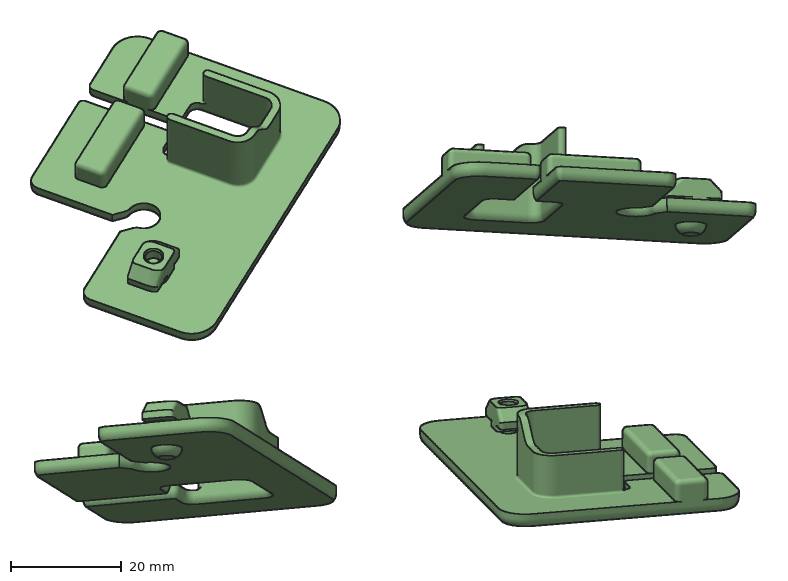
import cadquery as cq
import math

plate_length = 45.0
plate_width = 61.0
plate_thickness = 2.5
inner_corner = 20.0
outer_radius = 5.0
inner_radius = 2.0
bevel_radius = 2.0
bevel_angle = 45.0

window_left = 18.55
window_length = 16.5
window_width = 13.8
window_radius = 1.5
window_right = window_left + window_length
slit_center_y = 44.05
slit_width = 3.0
slit_corner_radius = 1.0

notch_center = 22.25
notch_radius = 3.0
channel_width = 4.2
notch_blend = 2.0

wall_thickness = 1.5
wall_left = 20.3
wall_inner_radius = 2.0
wall_height = 12.0
wall_step = 4.0
wall_foot_radius = 0.5
slope_center_y = 42.3
slope_blend = 3.0

rail_center_x = 10.0
rail_width = 6.2
rail_height = 4.0
rail_rounding = 1.0
south_rail_end = 25.0

screw_x = 30.0
screw_y = 10.0
shank_diameter = 3.0
shank_length = 6.0
shank_chamfer = 0.25
head_diameter = 5.7
head_height = 1.7
head_flat_diameter = 3.05
head_bulge = 0.3

nut_width = 6.0
nut_length = 10.4
nut_gap = 1.0
nut_boss_height = 1.05
nut_side_height = 1.35
nut_slope = 2.15
nut_mouth_diameter = 3.6
nut_corner_radius = 0.7
nut_boss_large_radius = 2.5
nut_cone_offset = 1.1
nut_cone_radius = 4.5


def box(x0, x1, y0, y1, z0, z1):
    """Box between two opposite corners."""
    return cq.Workplane("XY").box(x1 - x0, y1 - y0, z1 - z0, centered=False).translate((x0, y0, z0))


def round_upright_edges(body, points, radius):
    """Round the vertical edges nearest to the given points."""
    for point in points:
        body = body.edges(cq.NearestToPointSelector(point)).fillet(radius)
    return body


def make_slab():
    """L-shaped slab with rounded outer corners."""
    z = plate_thickness / 2
    outline = [
        (inner_corner, 0),
        (plate_length, 0),
        (plate_length, plate_width),
        (0, plate_width),
        (0, inner_corner),
        (inner_corner, inner_corner),
    ]
    slab = cq.Workplane("XY").polyline(outline).close().extrude(plate_thickness)
    large = [(plate_length, 0, z), (plate_length, plate_width, z), (0, plate_width, z)]
    small = [(inner_corner, 0, z), (0, inner_corner, z)]
    slab = round_upright_edges(slab, large, outer_radius)
    return round_upright_edges(slab, small, inner_radius)


def make_wall():
    """U-shaped wall with round ends; the foot fillet stays only beside the window, not over it."""
    half = window_width / 2
    outer_half = half + wall_thickness
    x_end = wall_left + wall_thickness / 2
    x_back = window_right + wall_thickness
    outer = box(0, x_back, slit_center_y - outer_half, slit_center_y + outer_half, 0, plate_thickness + wall_height)
    inner = box(-x_back, window_right, slit_center_y - half, slit_center_y + half, 0, plate_thickness + wall_height)
    outer = outer.edges("|Z and >X").fillet(wall_inner_radius + wall_thickness)
    inner = inner.edges("|Z and >X").fillet(wall_inner_radius)
    beyond_ends = box(0, x_end, 0, plate_width, 0, plate_thickness + wall_height)
    wall = outer.cut(inner).cut(beyond_ends)
    for side in (-1, 1):
        y = slit_center_y + side * (half + wall_thickness / 2)
        end = cq.Workplane("XY").center(x_end, y).circle(wall_thickness / 2).extrude(plate_thickness + wall_height)
        wall = wall.union(end)
    reach = outer_half + wall_thickness
    foot = cq.selectors.BoxSelector(
        (wall_left - wall_thickness, slit_center_y - reach, plate_thickness - wall_foot_radius),
        (window_right + 2 * wall_thickness, slit_center_y + reach, plate_thickness + wall_foot_radius),
    )
    pad = box(0, plate_length, 0, plate_width, 0, plate_thickness)
    wall = pad.union(wall).edges(foot).fillet(wall_foot_radius)
    return wall.cut(make_window()).cut(pad).cut(wall_slope_cutter())


def wall_slope_cutter():
    """Region above the low north part of the wall and its rounded 45 degree ramp."""
    top = plate_thickness + wall_height
    low = top - wall_step
    ramp = wall_step / 2
    outline = [
        (0, top + wall_step),
        (0, top),
        (slope_center_y - ramp, top),
        (slope_center_y + ramp, low),
        (plate_width, low),
        (plate_width, top + wall_step),
    ]
    cutter = cq.Workplane("YZ").polyline(outline).close().extrude(plate_length)
    for y, z in outline[2:4]:
        cutter = cutter.edges(cq.NearestToPointSelector((plate_length / 2, y, z))).fillet(slope_blend)
    return cutter


def make_window():
    """Window cutter that also clears the wall foot above the plate."""
    half = window_width / 2
    height = plate_thickness + wall_thickness
    window = box(window_left, window_right, slit_center_y - half, slit_center_y + half, 0, height)
    window = window.edges("|Z and <X").fillet(window_radius)
    return window.edges("|Z and >X").fillet(wall_inner_radius)


def cut_window(body):
    """Cut the window and the slit, and round the four slit corners."""
    slit_half = slit_width / 2
    slit_end = window_left + window_radius
    slit = box(0, slit_end, slit_center_y - slit_half, slit_center_y + slit_half, 0, plate_thickness)
    body = body.cut(make_window()).cut(slit)
    mouths = [
        (x, slit_center_y + side * slit_half, plate_thickness / 2)
        for x in (0, window_left)
        for side in (-1, 1)
    ]
    return round_upright_edges(body, mouths, slit_corner_radius)


def cut_notch(body):
    """Cut the round notch and its channel, and blend the two cusps between them."""
    circle = cq.Workplane("XY").center(notch_center, notch_center).circle(notch_radius).extrude(plate_thickness)
    reach = 2 * notch_radius + inner_radius
    half = channel_width / 2
    channel = box(-reach, 0, -half, half, 0, plate_thickness)
    channel = channel.rotate((0, 0, 0), (0, 0, 1), 45).translate((notch_center, notch_center, 0))
    body = body.cut(circle).cut(channel)
    back = math.sqrt(notch_radius**2 - half**2)
    near = notch_center - (back + half) / math.sqrt(2)
    far = notch_center - (back - half) / math.sqrt(2)
    z = plate_thickness / 2
    return round_upright_edges(body, [(near, far, z), (far, near, z)], notch_blend)


def bevel_underside(body):
    """Trim the lower rim to an arc that starts upright and meets the underside at the bevel angle."""
    angle = math.radians(bevel_angle)
    inset = bevel_radius * (1 - math.cos(angle))
    height = bevel_radius * math.sin(angle)
    mid_inset = bevel_radius * (1 - math.cos(angle / 2))
    mid_height = height - bevel_radius * math.sin(angle / 2)
    path = cq.Workplane(body.faces("<Z").val().outerWire())
    x = plate_length
    y = plate_width / 2
    cutter = (
        cq.Workplane("XZ", origin=(0, y, 0))
        .moveTo(x, height)
        .threePointArc((x - mid_inset, mid_height), (x - inset, 0))
        .lineTo(x, 0)
        .close()
        .sweep(path, transition="right")
    )
    return body.cut(cutter)


def make_rail(y0, y1):
    """Rail with rounded corners and top edges."""
    x0 = rail_center_x - rail_width / 2
    rail = box(x0, x0 + rail_width, y0, y1, plate_thickness, plate_thickness + rail_height)
    return rail.edges("|Z or >Z").fillet(rail_rounding)


def make_plate():
    """Plate with its openings, screw hole, rails and wall."""
    body = bevel_underside(cut_notch(cut_window(make_slab())))
    hole = cq.Workplane("XY").center(screw_x, screw_y).circle(shank_diameter / 2).extrude(plate_thickness)
    slit_half = slit_width / 2
    return (
        body.cut(hole)
        .union(make_rail(slit_center_y + slit_half, plate_width))
        .union(make_rail(south_rail_end, slit_center_y - slit_half))
        .union(make_wall(), clean=False)
    )


def make_screw():
    """Button-head screw with its head below the plate."""
    r = shank_diameter / 2
    flat = head_flat_diameter / 2
    rim = head_diameter / 2
    bulge = head_bulge * math.sqrt(0.5)
    mid = ((flat + rim) / 2 + bulge, -head_height / 2 - bulge)
    return (
        cq.Workplane("XZ")
        .moveTo(0, -head_height)
        .lineTo(flat, -head_height)
        .threePointArc(mid, (rim, 0))
        .lineTo(r, 0)
        .lineTo(r, shank_length - shank_chamfer)
        .lineTo(r - shank_chamfer, shank_length)
        .lineTo(0, shank_length)
        .close()
        .revolve(360, (0, 0, 0), (0, 1, 0))
        .translate((screw_x, screw_y, 0))
    )


def make_nut():
    """Hammer nut, centred on the screw axis with its base at zero height until placed."""
    half_w = nut_width / 2
    half_l = nut_length / 2
    side_top = nut_boss_height + nut_side_height
    side_middle = nut_boss_height + nut_side_height / 2
    slope_middle = side_top + nut_slope / 2
    top = side_top + nut_slope
    profile = [
        (-half_l, nut_boss_height),
        (half_l, nut_boss_height),
        (half_l, side_top),
        (half_l - nut_slope, top),
        (nut_slope - half_l, top),
        (-half_l, side_top),
    ]
    nut = cq.Workplane("YZ").polyline(profile).close().extrude(half_w, both=True)

    for side in (-1, 1):
        upright = cq.NearestToPointSelector((side * half_w, side * half_l, side_middle))
        ramp = cq.NearestToPointSelector((side * half_w, side * (half_l - nut_slope / 2), slope_middle))
        nut = nut.edges(upright + ramp).fillet(nut_corner_radius)

    cone_profile = [
        (0, nut_boss_height),
        (nut_cone_radius, nut_boss_height),
        (nut_cone_radius, side_top),
        (nut_cone_radius - nut_slope, top),
        (0, top),
    ]
    cone = cq.Workplane("XZ").polyline(cone_profile).close().revolve(360, (0, 0, 0), (0, 1, 0))
    cone = cone.translate((-nut_cone_offset, half_l - nut_cone_radius, 0))
    corner = box(-nut_width, -nut_cone_offset, half_l - nut_cone_radius, nut_length, nut_boss_height, top)
    corner_cutter = corner.cut(cone)
    for turn in (0, 180):
        nut = nut.cut(corner_cutter.rotate((0, 0, 0), (0, 0, 1), turn))

    cone_reach = half_w - nut_cone_offset
    drop = nut_cone_radius - math.sqrt(nut_cone_radius**2 - cone_reach**2)
    mid_radius = nut_cone_radius - nut_slope / 2
    mid_drop = mid_radius - math.sqrt(mid_radius**2 - cone_reach**2)
    for side in (-1, 1):
        upright = cq.NearestToPointSelector((side * half_w, -side * (half_l - drop), side_middle))
        ramp_y = -side * (half_l - nut_slope / 2 - mid_drop)
        ramp = cq.NearestToPointSelector((side * half_w, ramp_y, slope_middle))
        nut = nut.edges(upright + ramp).fillet(nut_corner_radius)

    boss_middle = nut_boss_height / 2
    large_corners = [(-half_w, half_w, boss_middle), (half_w, -half_w, boss_middle)]
    small_corners = [(half_w, half_w, boss_middle), (-half_w, -half_w, boss_middle)]
    boss = box(-half_w, half_w, -half_w, half_w, 0, nut_boss_height)
    boss = round_upright_edges(boss, large_corners, nut_boss_large_radius)
    boss = round_upright_edges(boss, small_corners, nut_corner_radius)
    nut = nut.union(boss)

    nut = nut.cut(cq.Workplane("XY").circle(shank_diameter / 2).extrude(top))
    mouth_chamfer = (nut_mouth_diameter - shank_diameter) / 2
    mouth = nut.faces(">Z").edges("%CIRCLE").edges(cq.selectors.RadiusNthSelector(0))
    nut = mouth.chamfer(mouth_chamfer)
    return nut.translate((screw_x, screw_y, plate_thickness + nut_gap))


plate = make_plate()
screw = make_screw()
nut = make_nut()

result = cq.Compound.makeCompound([plate.val(), screw.val(), nut.val()])